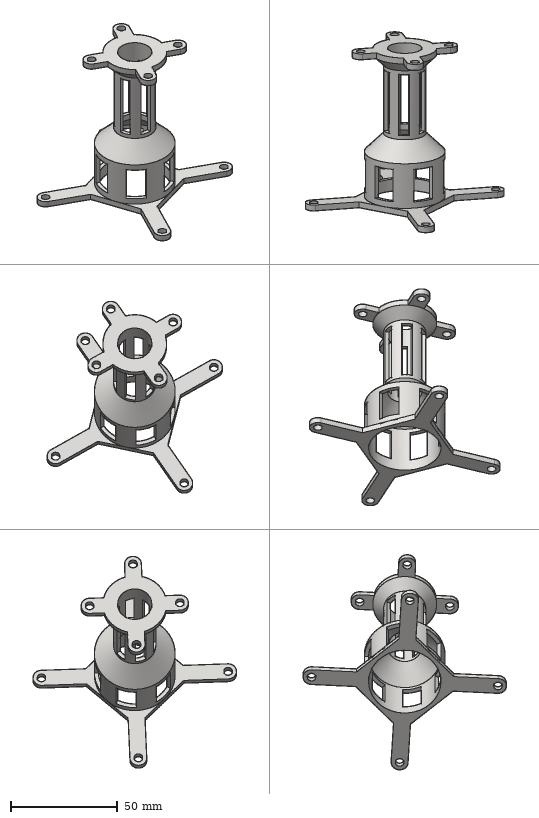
import cadquery as cq
import math

total_height = 76.0
plate_thickness = 3.0
drum_top = 25.0
neck_bottom = 34.0
neck_top = 68.0
flange_bottom = total_height - plate_thickness

drum_diameter = 38.0
drum_bore = 34.0
neck_diameter = 20.0
neck_bore = 16.0
flange_diameter = 30.0
bore_taper_drop = 1.0

base_span = 70.0
flange_span = drum_diameter
arm_width = 8.0
arm_hole_diameter = 4.0

opening_count = 6
opening_spacing = 360 / opening_count
opening_angle = opening_spacing / 2
drum_window_margin = 3.05
drum_window_bottom = plate_thickness + drum_window_margin
drum_window_top = drum_top - drum_window_margin
neck_slot_margin = 2.0
neck_slot_bottom = neck_bottom + neck_slot_margin
neck_slot_top = neck_top - neck_slot_margin

arm_directions = [45, 135, 225, 315]


def arm_hole_radius(span):
    """Distance from the axis to an arm hole, for a cross of the given X and Y extent."""
    return math.sqrt(2) * (span - arm_width) / 2


def arms(span, bottom):
    """Four diagonal arms with round ends."""
    reach = arm_hole_radius(span)
    slot_length = 2 * reach + arm_width
    plane = cq.Workplane("XY").workplane(offset=bottom)
    first_bar = plane.slot2D(slot_length, arm_width, 45).extrude(plate_thickness)
    second_bar = plane.slot2D(slot_length, arm_width, -45).extrude(plate_thickness)
    return first_bar.union(second_bar)


def arm_holes(span, bottom):
    """Through holes at the ends of the four arms."""
    reach = arm_hole_radius(span)
    centres = [
        (reach * math.cos(math.radians(a)), reach * math.sin(math.radians(a)))
        for a in arm_directions
    ]
    plane = cq.Workplane("XY").workplane(offset=bottom)
    return plane.pushPoints(centres).circle(arm_hole_diameter / 2).extrude(plate_thickness)


def revolved(profile):
    """Solid of revolution about Z from (radius, height) points."""
    return cq.Workplane("XZ").polyline(profile).close().revolve(360, (0, 0), (0, 1))


def cut_wall_openings(solid, outer_diameter, bottom, top, first_angle):
    """Cut evenly spaced openings with radial side walls through a round wall."""
    depth = outer_diameter / 2
    half_width = depth * math.tan(math.radians(opening_angle / 2))
    wedge = (
        cq.Workplane("XY")
        .workplane(offset=bottom)
        .polyline([(0, 0), (depth, -half_width), (depth, half_width)])
        .close()
        .extrude(top - bottom)
    )
    for i in range(opening_count):
        angle = first_angle + i * opening_spacing
        solid = solid.cut(wedge.rotate((0, 0, 0), (0, 0, 1), angle))
    return solid


column = revolved([
    (0, 0),
    (drum_diameter / 2, 0),
    (drum_diameter / 2, drum_top),
    (neck_diameter / 2, neck_bottom),
    (neck_diameter / 2, neck_top),
    (flange_diameter / 2, flange_bottom),
    (flange_diameter / 2, total_height),
    (0, total_height),
])
base = cq.Workplane("XY").rect(drum_diameter, drum_diameter).extrude(plate_thickness)
body = column.union(base)
body = body.union(arms(base_span, 0)).union(arms(flange_span, flange_bottom))

bore = revolved([
    (0, 0),
    (drum_bore / 2, 0),
    (drum_bore / 2, drum_top - bore_taper_drop),
    (neck_bore / 2, neck_bottom - bore_taper_drop),
    (neck_bore / 2, total_height),
    (0, total_height),
])
body = body.cut(bore)

body = cut_wall_openings(body, drum_diameter, drum_window_bottom, drum_window_top, 0)
body = cut_wall_openings(body, neck_diameter, neck_slot_bottom, neck_slot_top, opening_spacing / 2)

body = body.cut(arm_holes(base_span, 0))
result = body.cut(arm_holes(flange_span, flange_bottom))